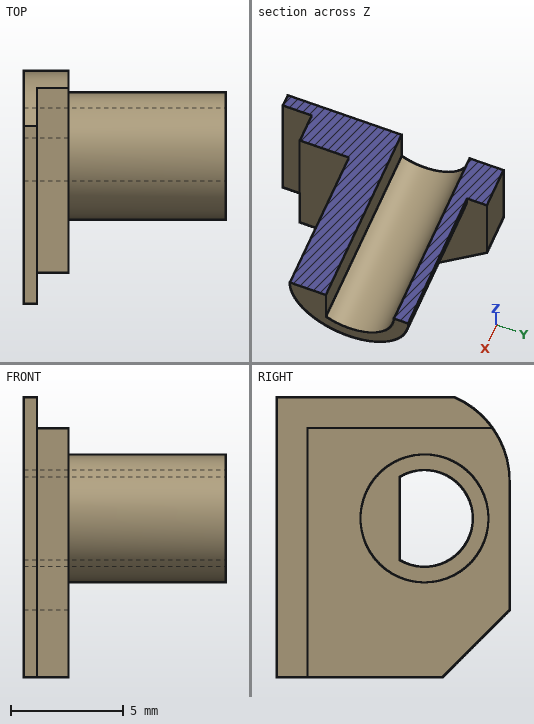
import cadquery as cq
import math


plate_thickness = 0.6
plate_left = -6.58
plate_right = 3.8
plate_bottom = -7.08
plate_top = 5.4
corner_chamfer = 3.0
corner_radius = 4.1
corner_start_z = 1.64

block_thickness = 1.4
block_left = -5.2
block_top = 4.02

tube_diameter = 5.7
tube_length = 7.0

bore_diameter = 4.3
bore_flat_offset = 1.1

flange_thickness = plate_thickness + block_thickness
overall_length = flange_thickness + tube_length


def make_profile_solid(thickness):
    """Extruded plate profile: rounded upper corner and chamfered lower corner on the +Y side."""
    arc_center_y = plate_right - corner_radius
    end_angle = math.asin((plate_top - corner_start_z) / corner_radius)
    arc_end_y = arc_center_y + corner_radius * math.cos(end_angle)
    arc_middle = (
        arc_center_y + corner_radius * math.cos(end_angle / 2),
        corner_start_z + corner_radius * math.sin(end_angle / 2),
    )
    return (
        cq.Workplane("YZ")
        .moveTo(plate_left, plate_bottom)
        .lineTo(plate_right - corner_chamfer, plate_bottom)
        .lineTo(plate_right, plate_bottom + corner_chamfer)
        .lineTo(plate_right, corner_start_z)
        .threePointArc(arc_middle, (arc_end_y, plate_top))
        .lineTo(plate_left, plate_top)
        .close()
        .extrude(thickness)
    )


def make_flange():
    """Thin plate plus the smaller block that shares its +Y and bottom outline."""
    block_limits = cq.Workplane("XY").box(
        flange_thickness,
        plate_right - block_left,
        block_top - plate_bottom,
        centered=False,
    ).translate((0, block_left, plate_bottom))
    block = make_profile_solid(flange_thickness).intersect(block_limits)
    return make_profile_solid(plate_thickness).union(block)


def make_tube():
    """Plain round tube body standing on the backing block."""
    return (
        cq.Workplane("YZ", origin=(flange_thickness, 0, 0))
        .circle(tube_diameter / 2)
        .extrude(tube_length)
    )


def make_bore():
    """D-shaped through bore with its flat on the -Y side."""
    bore_radius = bore_diameter / 2
    cylinder = cq.Workplane("YZ").circle(bore_radius).extrude(overall_length)
    flat_limit = cq.Workplane("XY").box(
        overall_length,
        bore_flat_offset + bore_radius,
        bore_diameter,
        centered=False,
    ).translate((0, -bore_flat_offset, -bore_radius))
    return cylinder.intersect(flat_limit)


result = make_flange().union(make_tube()).cut(make_bore())